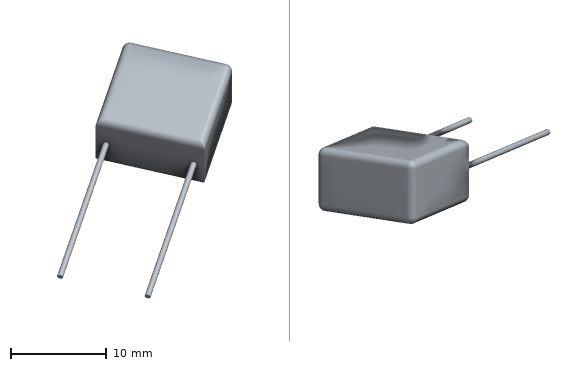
import cadquery as cq

overall_length = 29.35
case_width = 11.9
case_height = 6.9
case_depth = 11.35
edge_radius = 0.75

lead_diameter = 0.65
lead_pitch = 9.55
lead_length = overall_length - case_depth


def make_case():
    """Case with its lead face on Y = 0, rounded on every edge but the two upright ones of the lead face."""
    block = cq.Workplane("XY").box(case_width, case_depth, case_height).translate((0, case_depth / 2, 0))
    rear_and_horizontal_edges = "(|Z and >Y) or #Z"
    return block.edges(rear_and_horizontal_edges).fillet(edge_radius)


def make_lead(x):
    """Straight round lead that starts on the lead face and points toward -Y."""
    lead = cq.Workplane("XZ").circle(lead_diameter / 2).extrude(lead_length)
    return lead.translate((x, 0, 0))


case = make_case()

leads = []
for side in (-1, 1):
    leads.append(make_lead(side * lead_pitch / 2))

result = cq.Compound.makeCompound([case.val(), *[lead.val() for lead in leads]])